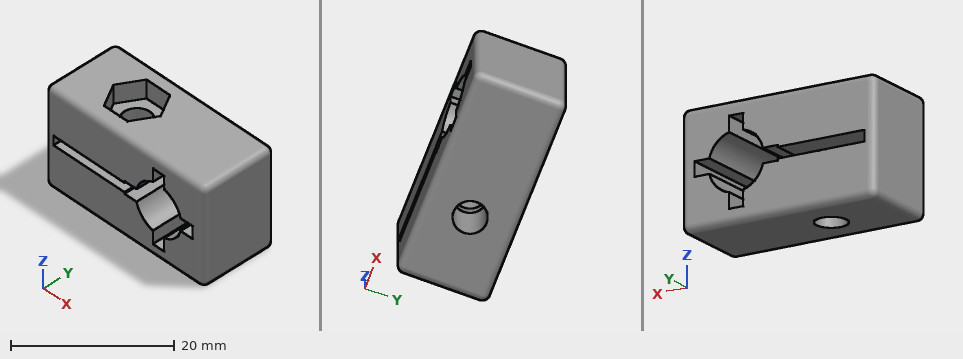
import cadquery as cq
import math

LENGTH = 28.0
WIDTH = 12.0
HEIGHT = 16.0
EDGE_RADIUS = 1.0

BORE_X = 6.0
BORE_DIAMETER = 8.0
KEYWAY_SPAN = 12.0
KEYWAY_WIDTH = 2.0

SLIT_WIDTH = 1.5
SLIT_END_X = -12.5

SCREW_X = -4.0
SCREW_HOLE_DIAMETER = 4.3
NUT_ACROSS_FLATS = 7.2
NUT_POCKET_DEPTH = 3.0


def make_block():
    """Rectangular block with every edge rounded."""
    return cq.Workplane("XY").box(LENGTH, WIDTH, HEIGHT).edges().fillet(EDGE_RADIUS)


def make_keyed_bore():
    """Round bore and its four keyways, through the full width."""
    bore = (
        cq.Workplane("XZ")
        .center(BORE_X, 0)
        .circle(BORE_DIAMETER / 2)
        .extrude(WIDTH / 2, both=True)
    )
    across = cq.Workplane("XY").box(KEYWAY_SPAN, WIDTH, KEYWAY_WIDTH)
    upright = cq.Workplane("XY").box(KEYWAY_WIDTH, WIDTH, KEYWAY_SPAN)
    keyways = across.union(upright).translate((BORE_X, 0, 0))
    return bore.union(keyways)


def make_slit():
    """Slit through the full width, from its closed end to the bore centre."""
    slit_length = BORE_X - SLIT_END_X
    slit_centre_x = (BORE_X + SLIT_END_X) / 2
    return (
        cq.Workplane("XY")
        .box(slit_length, WIDTH, SLIT_WIDTH)
        .translate((slit_centre_x, 0, 0))
    )


def make_screw_hole():
    """Through hole along Z, opening into the nut pocket at the top."""
    hole = (
        cq.Workplane("XY")
        .center(SCREW_X, 0)
        .circle(SCREW_HOLE_DIAMETER / 2)
        .extrude(HEIGHT / 2, both=True)
    )
    nut_across_corners = NUT_ACROSS_FLATS / math.cos(math.pi / 6)
    nut_pocket = (
        cq.Workplane("XY")
        .workplane(offset=HEIGHT / 2 - NUT_POCKET_DEPTH)
        .center(SCREW_X, 0)
        .polygon(6, nut_across_corners)
        .extrude(NUT_POCKET_DEPTH)
    )
    return hole.union(nut_pocket)


result = (
    make_block()
    .cut(make_keyed_bore())
    .cut(make_slit())
    .cut(make_screw_hole())
)